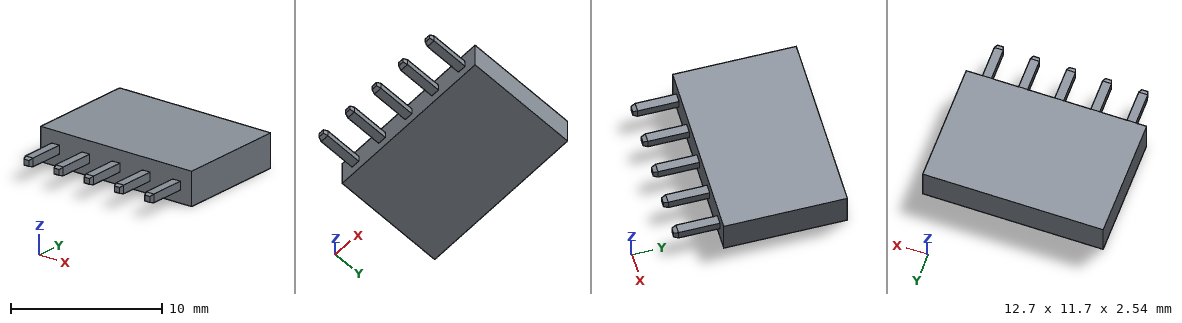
import cadquery as cq

housing_width = 12.7
housing_depth = 8.5
housing_height = 2.54

pin_count = 5
pin_pitch = 2.54
pin_side = 0.64
pin_length = 3.15

tip_length = 0.3
tip_inset = 0.1


def make_housing():
    return cq.Workplane("XY").box(
        housing_width, housing_depth, housing_height, centered=(True, False, True)
    )


def make_pin(x):
    """Square pin rooted on the pin face, ending in a tapered tip."""
    shank_length = pin_length - tip_length
    tip_side = pin_side - 2 * tip_inset
    shank = cq.Workplane("XZ").center(x, 0).rect(pin_side, pin_side).extrude(shank_length)
    tip = (
        shank.faces("<Y").workplane(centerOption="CenterOfMass")
        .rect(pin_side, pin_side)
        .workplane(offset=tip_length)
        .rect(tip_side, tip_side)
        .loft(combine=False)
    )
    return shank.union(tip)


result = make_housing()
first_pin_x = -pin_pitch * (pin_count - 1) / 2
for index in range(pin_count):
    result = result.union(make_pin(first_pin_x + index * pin_pitch))